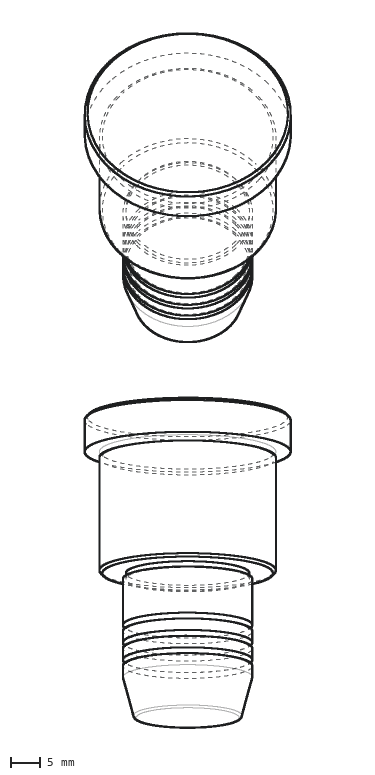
import cadquery as cq
import math

total_length = 52.0
head_radius = 17.5
head_height = 6.0
body_radius = 15.0
body_length = 21.0
shank_radius = 11.0
neck_depth = 0.5
neck_length = 1.0
edge_chamfer = 0.5

taper_length = 7.0
taper_angle = 15.0
tip_fillet = 0.5

groove_radius = 0.5
groove_width = 2 * groove_radius
shank_groove_count = 3
shank_groove_pitch = 3.0
bottom_land = 2.0

head_bottom = total_length - head_height
shoulder = head_bottom - body_length
neck_bottom = shoulder - neck_length


def disc(radius, bottom, top):
    """Cylinder on the Z axis between two heights."""
    return cq.Workplane("XY").workplane(offset=bottom).circle(radius).extrude(top - bottom)


def revolved(outline):
    """Solid of revolution about Z of an outline drawn in (radius, height)."""
    return outline.close().revolve(360, (0, 0, 0), (0, 1, 0))


def ring_groove(radius, bottom):
    """Half-round ring that cuts a groove into a cylinder of the given radius."""
    top = bottom + groove_width
    root = (radius - groove_radius, bottom + groove_radius)
    outline = cq.Workplane("XZ").moveTo(radius, bottom).threePointArc(root, (radius, top))
    return revolved(outline)


def make_head():
    return disc(head_radius, head_bottom, total_length).faces(">Z").edges().chamfer(edge_chamfer)


def make_body():
    body = disc(body_radius, shoulder, head_bottom).faces("<Z").edges().chamfer(edge_chamfer)
    return body.cut(ring_groove(body_radius, head_bottom - groove_width))


def make_neck():
    return disc(shank_radius - neck_depth, neck_bottom, shoulder)


def make_shank():
    shank = disc(shank_radius, taper_length, neck_bottom)
    for index in range(shank_groove_count):
        groove_bottom = taper_length + bottom_land + index * shank_groove_pitch
        shank = shank.cut(ring_groove(shank_radius, groove_bottom))
    return shank


def make_tip():
    end_radius = shank_radius - taper_length * math.tan(math.radians(taper_angle))
    outline = cq.Workplane("XZ").polyline([
        (0, 0),
        (end_radius, 0),
        (shank_radius, taper_length),
        (0, taper_length),
    ])
    return revolved(outline).faces("<Z").edges().fillet(tip_fillet)


result = make_head().union(make_body()).union(make_neck()).union(make_shank()).union(make_tip())